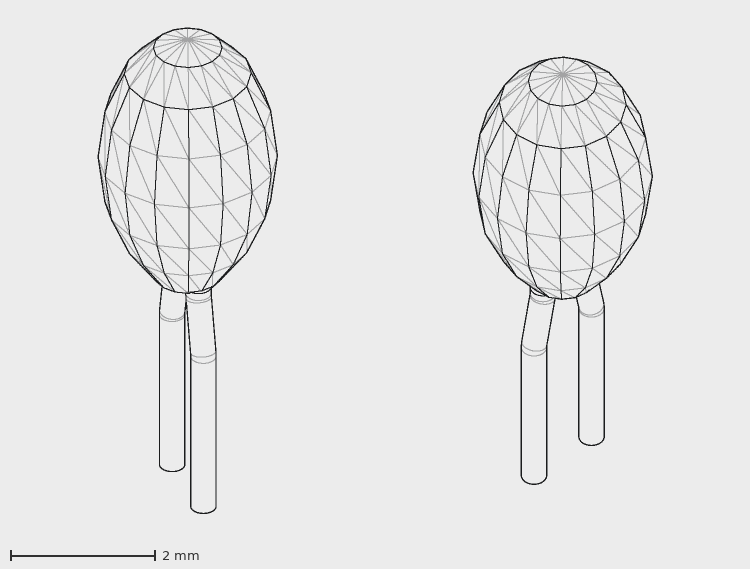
import cadquery as cq
import math

TOTAL_HEIGHT = 7.57
BULB_DIAMETER = 2.49
BULB_RADIUS = BULB_DIAMETER / 2.0
EQUATOR_Z = 5.58
BULB_BOTTOM_Z = 3.59
SIDES = 16
LATITUDE_STEP = 360.0 / SIDES
TOP_RING = 3
DOME_HEIGHT = TOTAL_HEIGHT - EQUATOR_Z

LEAD_DIAMETER = 0.355
UPPER_SPACING = 0.76
UPPER_OFFSET = UPPER_SPACING / 2.0
LOWER_SPACING = 1.1
LOWER_OFFSET = LOWER_SPACING / 2.0
UPPER_BEND_Z = 3.47
LOWER_BEND_Z = 2.58
BEND_RADIUS = 0.36
LEAD_INSERTION = 0.03
LEAD_TOP_Z = BULB_BOTTOM_Z + LEAD_INSERTION


def ring(radius, z):
    """Corners of one horizontal ring of the bulb, counter-clockwise from above."""
    angles = [2.0 * math.pi * i / SIDES for i in range(SIDES)]
    return [cq.Vector(radius * math.cos(a), radius * math.sin(a), z) for a in angles]


def bulb_rings():
    """Rings from the one nearest the apex down to the flat bottom."""
    rings = []
    for step in range(TOP_RING, -TOP_RING, -1):
        angle = math.radians(step * LATITUDE_STEP)
        rings.append(ring(BULB_RADIUS * math.cos(angle), EQUATOR_Z + DOME_HEIGHT * math.sin(angle)))
    bottom_radius = BULB_RADIUS * math.cos(math.radians(TOP_RING * LATITUDE_STEP))
    rings.append(ring(bottom_radius, BULB_BOTTOM_Z))
    return rings


def flat_face(points):
    return cq.Face.makeFromWires(cq.Wire.makePolygon(points, close=True))


def make_bulb():
    """Closed shell of triangles: a fan at the apex, then bands split along one diagonal."""
    rings = bulb_rings()
    apex = cq.Vector(0, 0, TOTAL_HEIGHT)
    faces = [flat_face(rings[-1][::-1])]
    for i in range(SIDES):
        j = (i + 1) % SIDES
        faces.append(flat_face([apex, rings[0][i], rings[0][j]]))
        for upper, lower in zip(rings, rings[1:]):
            faces.append(flat_face([upper[i], lower[i], lower[j]]))
            faces.append(flat_face([upper[i], lower[j], upper[j]]))
    return cq.Solid.makeSolid(cq.Shell.makeShell(faces))


def make_lead(turn):
    """Wire in the XZ plane, bent towards +X and then turned about the Z axis by the given degrees."""
    run = LOWER_OFFSET - UPPER_OFFSET
    drop = UPPER_BEND_Z - LOWER_BEND_Z
    tilt = math.atan2(run, drop)
    tangent = BEND_RADIUS * math.tan(tilt / 2.0)
    step_x = tangent * math.sin(tilt)
    step_z = tangent * math.cos(tilt)
    path = (
        cq.Workplane("XZ")
        .moveTo(LOWER_OFFSET, 0)
        .lineTo(LOWER_OFFSET, LOWER_BEND_Z - tangent)
        .tangentArcPoint((LOWER_OFFSET - step_x, LOWER_BEND_Z + step_z), relative=False)
        .lineTo(UPPER_OFFSET + step_x, UPPER_BEND_Z - step_z)
        .tangentArcPoint((UPPER_OFFSET, UPPER_BEND_Z + tangent), relative=False)
        .lineTo(UPPER_OFFSET, LEAD_TOP_Z)
    )
    lead = cq.Workplane("XY").center(LOWER_OFFSET, 0).circle(LEAD_DIAMETER / 2.0).sweep(path)
    return lead.rotate((0, 0, 0), (0, 0, 1), turn).val()


leads = [make_lead(turn) for turn in (0, 180)]

bulb = make_bulb().cut(*leads)

result = cq.Compound.makeCompound([*bulb.Solids(), *leads])